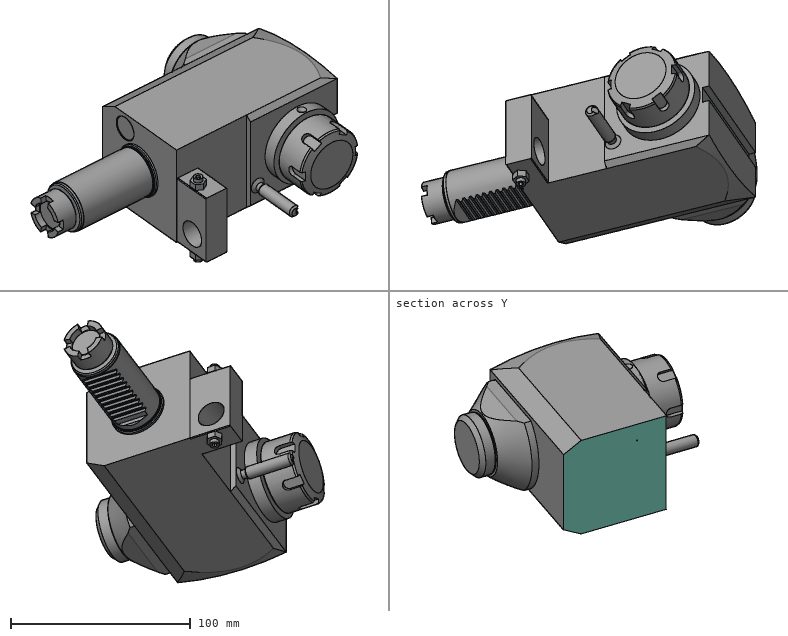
import cadquery as cq
import math


HALF = 32.0
REAR_Y = 114.0
SIDE_BEVEL_X = 10.9
SIDE_BEVEL_Z = 6.3
PAD_THICK = 3.35
PAD_FRONT_Y = 50.9
PAD_BEVEL_Z = 3.0
PAD_X = HALF + PAD_THICK
CROWN_X = 9.0
CROWN_CENTRE_Z = 118.0
CROWN_REAR_RADIUS = 149.25
CROWN_ANGLE = 15.0
KEYWAY_WIDTH = 10.0
KEYWAY_DEPTH = 4.0
PLUG_X, PLUG_Z = -12.4, 21.8
PLUG_RADIUS = 7.6
PLUG_RECESS = 0.4

SPINDLE_Y = 85.0
BOSS_RADIUS = 32.0
BOSS_FLAT = 23.0
BOSS_REAR_REACH = 24.5
BOSS_CONE_X = -36.3
BOSS_SLOPE_X = -39.2
BOSS_SLOPE_ANGLE = 15.0
BOSS_END_X = -51.4
BOSS_END_RADIUS = 19.4
CAP_NECK_RADIUS = 17.8
CAP_START_X = -52.1
CAP_END_X = -60.8
CAP_RADIUS = 18.2
CAP_CHAMFER = 2.7
FLANGE_RADIUS = 23.5
FLANGE_END_X = 43.0
SCREW_X = 39.2
SCREW_RADIUS = 2.7
SCREW_TIP_RADIUS = 0.6
SCREW_DEPTH = 2.0
NUT_NECK_RADIUS = 18.0
NUT_START_X = 43.9
NUT_RADIUS = 20.9
NUT_BACK_CHAMFER = 0.5
NUT_SHOULDER_X = 62.1
NUT_RIM_X = 63.3
NUT_RIM_RADIUS = 20.4
NUT_END_X = 65.0
NUT_END_RADIUS = 15.3
NUT_SLOTS = 6
NUT_SLOT_WIDTH = 6.0
NUT_SLOT_START_X = 52.7
NUT_SLOT_FLOOR_RADIUS = 18.2

NOZZLE_Y, NOZZLE_Z = 56.2, -17.4
NOZZLE_BASE_RADIUS = 4.7
NOZZLE_BASE_LENGTH = 1.6
NOZZLE_STEM_RADIUS = 2.6
NOZZLE_TUBE_X = 39.8
NOZZLE_RADIUS = 3.55
NOZZLE_BACK_CHAMFER = 0.5
NOZZLE_END_X = 67.83
NOZZLE_TIP_CHAMFER = 1.1
NOZZLE_SPOT_RADIUS = 2.2
NOZZLE_SPOT_DEPTH = 2.3

BLOCK_END_X = 56.8
BLOCK_FRONT_Y, BLOCK_REAR_Y = 0.5, 15.9
BLOCK_TOP_Z = 12.3
BLOCK_CHAMFER = 0.5
BLOCK_HOLE_X, BLOCK_HOLE_Z = 45.0, -19.0
BLOCK_HOLE_RADIUS = 8.0
STUD_Y = 4.75
STUD_RADIUS = 2.65
STUD_REACH = 6.5
STUD_SOCKET_FLATS = 2.5
STUD_SOCKET_DEPTH = 2.0
HEX_NUT_FLATS = 8.0
HEX_NUT_HEIGHT = 4.0

SHANK_RADIUS = 15.0
COLLAR_RADIUS = 16.0
COLLAR_LENGTH = 1.8
COLLAR_CHAMFER = 0.6
SHANK_RELIEF_RADIUS = 14.7
SHANK_RELIEF_START = 2.7
SHANK_RELIEF_END = 52.9
SHANK_LENGTH = 55.1
SHANK_END_CHAMFER = 0.7
RACK_START = 7.2
RACK_STEP_CHAMFER = 0.9
RACK_TIP_Z = 11.75
RACK_DEPTH = 1.1
RACK_FIRST_VALLEY = 12.0
RACK_PITCH = 4.0
RACK_VALLEYS = 10
RACK_VALLEY_WIDTH = 1.0
RACK_TIP_WIDTH = 1.1
COUPLING_NECK_RADIUS = 10.8
COUPLING_START = 56.2
COUPLING_RADIUS = 12.15
COUPLING_END = 69.0
COUPLING_BORE_RADIUS = 8.6
COUPLING_BORE_DEPTH = 4.2
CLAW_SLOTS = 4
CLAW_SLOT_DEPTH = 3.6
CLAW_SLOT_INNER_WIDTH = 5.0
CLAW_SLOT_OUTER_WIDTH = 6.7

OVERLAP = 1.0


def tan_deg(angle):
    return math.tan(math.radians(angle))


def block(x0, x1, y0, y1, z0, z1):
    """Box between two opposite corners."""
    return cq.Workplane("XY").box(x1 - x0, y1 - y0, z1 - z0, centered=False).translate((x0, y0, z0))


def turned_x(points, y, z):
    """Solid of revolution about an X-parallel axis; points are (x, radius)."""
    start, end = points[0][0], points[-1][0]
    outline = [(start, 0)] + points + [(end, 0)]
    body = cq.Workplane("XY").polyline(outline).close().revolve(360, (0, 0, 0), (1, 0, 0))
    return body.translate((0, y, z))


def turned_shank(points):
    """Solid of revolution about the shank axis; points are (distance from face, radius)."""
    outline = [(0, -points[0][0])]
    outline += [(radius, -distance) for distance, radius in points]
    outline.append((0, -points[-1][0]))
    return cq.Workplane("XY").polyline(outline).close().revolve(360, (0, 0, 0), (0, 1, 0))


def rear_crown(side):
    """Cone that rounds the upper (side = 1) or lower (side = -1) rear edge."""
    rear_to_front = REAR_Y + 2 * OVERLAP
    front_radius = CROWN_REAR_RADIUS + REAR_Y * tan_deg(CROWN_ANGLE)
    cone = cq.Solid.makeCone(
        front_radius,
        front_radius - rear_to_front * tan_deg(CROWN_ANGLE),
        rear_to_front,
        pnt=cq.Vector(CROWN_X, 0, -side * CROWN_CENTRE_Z),
        dir=cq.Vector(0, 1, 0),
    )
    return cq.Workplane(obj=cone)


def housing():
    outline = [
        (-HALF, HALF - SIDE_BEVEL_Z),
        (-HALF + SIDE_BEVEL_X, HALF),
        (HALF, HALF),
        (HALF, -HALF),
        (-HALF + SIDE_BEVEL_X, -HALF),
        (-HALF, -HALF + SIDE_BEVEL_Z),
    ]
    body = cq.Workplane("XZ").polyline(outline).close().extrude(-REAR_Y)
    pad_outline = [
        (HALF - OVERLAP, HALF),
        (HALF, HALF),
        (PAD_X, HALF - PAD_BEVEL_Z),
        (PAD_X, -HALF + PAD_BEVEL_Z),
        (HALF, -HALF),
        (HALF - OVERLAP, -HALF),
    ]
    pad = cq.Workplane("XZ").polyline(pad_outline).close().extrude(PAD_FRONT_Y - REAR_Y)
    body = body.union(pad.translate((0, PAD_FRONT_Y, 0)))
    for side in (1, -1):
        body = body.intersect(rear_crown(side))
    half_key = KEYWAY_WIDTH / 2
    keyway = block(-HALF, PAD_X, REAR_Y - KEYWAY_DEPTH, REAR_Y, -half_key, half_key)
    plug = cq.Workplane("XZ").center(PLUG_X, PLUG_Z).circle(PLUG_RADIUS).extrude(-PLUG_RECESS, taper=45)
    return body.cut(keyway).cut(plug)


def spindle_boss():
    profile = [
        (-HALF + OVERLAP, BOSS_RADIUS),
        (BOSS_CONE_X, BOSS_RADIUS),
        (BOSS_END_X, BOSS_END_RADIUS),
    ]
    body = turned_x(profile, SPINDLE_Y, 0)
    end_flat = BOSS_FLAT - (BOSS_SLOPE_X - BOSS_END_X) * tan_deg(BOSS_SLOPE_ANGLE)
    flats = [
        (-HALF + OVERLAP, BOSS_FLAT),
        (BOSS_SLOPE_X, BOSS_FLAT),
        (BOSS_END_X, end_flat),
        (BOSS_END_X, -end_flat),
        (BOSS_SLOPE_X, -BOSS_FLAT),
        (-HALF + OVERLAP, -BOSS_FLAT),
    ]
    depth = BOSS_RADIUS + BOSS_REAR_REACH
    limits = cq.Workplane("XZ").polyline(flats).close().extrude(-depth)
    return body.intersect(limits.translate((0, SPINDLE_Y - BOSS_RADIUS, 0)))


def end_cap():
    return turned_x([
        (BOSS_END_X + OVERLAP, CAP_NECK_RADIUS),
        (CAP_START_X, CAP_NECK_RADIUS),
        (CAP_START_X, CAP_RADIUS),
        (CAP_END_X + CAP_CHAMFER, CAP_RADIUS),
        (CAP_END_X, CAP_RADIUS - CAP_CHAMFER),
    ], SPINDLE_Y, 0)


def flange():
    body = turned_x([(PAD_X - OVERLAP, FLANGE_RADIUS), (FLANGE_END_X, FLANGE_RADIUS)], SPINDLE_Y, 0)
    countersink = cq.Solid.makeCone(
        SCREW_TIP_RADIUS,
        SCREW_RADIUS,
        SCREW_DEPTH,
        pnt=cq.Vector(SCREW_X, SPINDLE_Y, FLANGE_RADIUS - SCREW_DEPTH),
    )
    return body.cut(cq.Workplane(obj=countersink))


def collet_nut():
    body = turned_x([
        (FLANGE_END_X - OVERLAP, NUT_NECK_RADIUS),
        (NUT_START_X, NUT_NECK_RADIUS),
        (NUT_START_X, NUT_RADIUS - NUT_BACK_CHAMFER),
        (NUT_START_X + NUT_BACK_CHAMFER, NUT_RADIUS),
        (NUT_SHOULDER_X, NUT_RADIUS),
        (NUT_RIM_X, NUT_RIM_RADIUS),
        (NUT_END_X, NUT_END_RADIUS),
    ], SPINDLE_Y, 0)
    half = NUT_SLOT_WIDTH / 2
    straight_x = NUT_SLOT_START_X + half
    slot = (
        cq.Workplane("XY")
        .moveTo(NUT_END_X + OVERLAP, half)
        .lineTo(straight_x, half)
        .threePointArc((NUT_SLOT_START_X, 0), (straight_x, -half))
        .lineTo(NUT_END_X + OVERLAP, -half)
        .close()
        .extrude(NUT_RADIUS)
        .translate((0, 0, NUT_SLOT_FLOOR_RADIUS))
    )
    for index in range(NUT_SLOTS):
        angle = 90 + index * 360 / NUT_SLOTS
        body = body.cut(slot.rotate((0, 0, 0), (1, 0, 0), angle).translate((0, SPINDLE_Y, 0)))
    return body


def coolant_nozzle():
    body = turned_x([
        (PAD_X - OVERLAP, NOZZLE_BASE_RADIUS),
        (PAD_X, NOZZLE_BASE_RADIUS),
        (PAD_X + NOZZLE_BASE_LENGTH, NOZZLE_STEM_RADIUS),
        (NOZZLE_TUBE_X, NOZZLE_STEM_RADIUS),
        (NOZZLE_TUBE_X, NOZZLE_RADIUS - NOZZLE_BACK_CHAMFER),
        (NOZZLE_TUBE_X + NOZZLE_BACK_CHAMFER, NOZZLE_RADIUS),
        (NOZZLE_END_X - NOZZLE_TIP_CHAMFER, NOZZLE_RADIUS),
        (NOZZLE_END_X, NOZZLE_RADIUS - NOZZLE_TIP_CHAMFER),
    ], NOZZLE_Y, NOZZLE_Z)
    corner_y = NOZZLE_Y + NOZZLE_RADIUS
    spot_face = cq.Solid.makeCylinder(
        NOZZLE_SPOT_RADIUS,
        NOZZLE_SPOT_DEPTH,
        pnt=cq.Vector(NOZZLE_END_X, corner_y, NOZZLE_Z),
        dir=cq.Vector(-1, -1, 0),
    )
    return body.cut(cq.Workplane(obj=spot_face))


def hexagon(flats, height):
    """Upright hexagonal prism with corners on the X direction."""
    return cq.Workplane("XY").polygon(6, flats / math.cos(math.pi / 6)).extrude(height)


def clamp_stud():
    """Stud and nut standing on z = 0 and sunk into the block below."""
    stud = cq.Workplane("XY").circle(STUD_RADIUS).extrude(STUD_REACH + OVERLAP).translate((0, 0, -OVERLAP))
    nut = hexagon(HEX_NUT_FLATS, HEX_NUT_HEIGHT)
    socket = hexagon(STUD_SOCKET_FLATS, STUD_SOCKET_DEPTH).translate((0, 0, STUD_REACH - STUD_SOCKET_DEPTH))
    return stud.union(nut).cut(socket)


def clamp_block():
    body = block(HALF - OVERLAP, BLOCK_END_X, BLOCK_FRONT_Y, BLOCK_REAR_Y, -HALF, BLOCK_TOP_Z)
    body = body.edges("|X").chamfer(BLOCK_CHAMFER)
    hole = cq.Workplane("XZ").center(BLOCK_HOLE_X, BLOCK_HOLE_Z).circle(BLOCK_HOLE_RADIUS)
    body = body.cut(hole.extrude(-BLOCK_REAR_Y))
    upper = clamp_stud().translate((BLOCK_HOLE_X, STUD_Y, BLOCK_TOP_Z))
    lower = clamp_stud().rotate((0, 0, 0), (1, 0, 0), 180).translate((BLOCK_HOLE_X, STUD_Y, -HALF))
    return body.union(upper).union(lower)


def rack_cutter():
    """Material removed below the shank to leave the toothed flat."""
    valley_z = RACK_DEPTH - RACK_TIP_Z
    bottom_z = -COLLAR_RADIUS
    half_root = RACK_VALLEY_WIDTH / 2
    half_mouth = (RACK_PITCH - RACK_TIP_WIDTH) / 2
    step_z = -SHANK_RADIUS + RACK_STEP_CHAMFER
    outline = [
        (-RACK_START + step_z - bottom_z, bottom_z),
        (-RACK_START, step_z),
        (-RACK_START, -RACK_TIP_Z),
    ]
    for index in range(RACK_VALLEYS):
        y = -RACK_FIRST_VALLEY - index * RACK_PITCH
        outline += [
            (y + half_mouth, -RACK_TIP_Z),
            (y + half_root, valley_z),
            (y - half_root, valley_z),
        ]
        if index < RACK_VALLEYS - 1:
            outline.append((y - half_mouth, -RACK_TIP_Z))
    ramp_start = outline[-1][0]
    outline.append((ramp_start - (valley_z - bottom_z), bottom_z))
    return cq.Workplane("YZ").polyline(outline).close().extrude(SHANK_RADIUS, both=True)


def shank():
    body = turned_shank([
        (-OVERLAP, COLLAR_RADIUS),
        (COLLAR_LENGTH - COLLAR_CHAMFER, COLLAR_RADIUS),
        (COLLAR_LENGTH, COLLAR_RADIUS - COLLAR_CHAMFER),
        (COLLAR_LENGTH, SHANK_RELIEF_RADIUS),
        (SHANK_RELIEF_START, SHANK_RELIEF_RADIUS),
        (SHANK_RELIEF_START, SHANK_RADIUS),
        (SHANK_RELIEF_END, SHANK_RADIUS),
        (SHANK_RELIEF_END, SHANK_RELIEF_RADIUS),
        (SHANK_LENGTH - SHANK_END_CHAMFER, SHANK_RELIEF_RADIUS),
        (SHANK_LENGTH, SHANK_RELIEF_RADIUS - SHANK_END_CHAMFER),
    ])
    return body.cut(rack_cutter())


def coupling():
    bore_floor = COUPLING_END - COUPLING_BORE_DEPTH
    body = turned_shank([
        (SHANK_LENGTH - OVERLAP, COUPLING_NECK_RADIUS),
        (COUPLING_START, COUPLING_NECK_RADIUS),
        (COUPLING_START, COUPLING_RADIUS),
        (COUPLING_END, COUPLING_RADIUS),
    ])
    bore = turned_shank([(bore_floor, COUPLING_BORE_RADIUS), (COUPLING_END, COUPLING_BORE_RADIUS)])
    inner_radius = COUPLING_BORE_RADIUS - OVERLAP
    half_inner = CLAW_SLOT_INNER_WIDTH / 2
    half_outer = CLAW_SLOT_OUTER_WIDTH / 2
    slot = (
        cq.Workplane("XZ")
        .polyline([
            (inner_radius, -half_inner),
            (COUPLING_RADIUS, -half_outer),
            (COUPLING_RADIUS, half_outer),
            (inner_radius, half_inner),
        ])
        .close()
        .extrude(CLAW_SLOT_DEPTH)
        .translate((0, CLAW_SLOT_DEPTH - COUPLING_END, 0))
    )
    body = body.cut(bore)
    for index in range(CLAW_SLOTS):
        body = body.cut(slot.rotate((0, 0, 0), (0, 1, 0), index * 360 / CLAW_SLOTS))
    return body


result = housing()
for feature in (spindle_boss, end_cap, flange, collet_nut, coolant_nozzle, clamp_block, shank, coupling):
    result = result.union(feature())